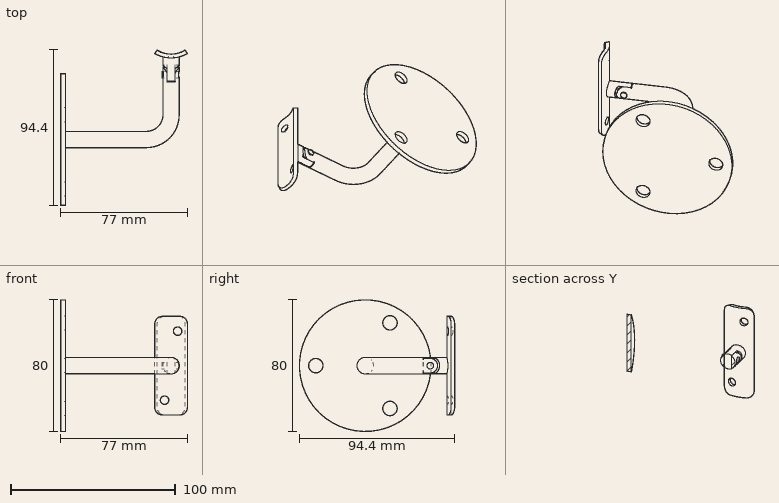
import cadquery as cq
import math

PLATE_DIAMETER = 80.0
PLATE_THICKNESS = 3.0
SCREW_HOLE_DIAMETER = 8.6
SCREW_CIRCLE_RADIUS = 30.0
SCREW_COUNT = 3

ROD_RADIUS = 5.0
ARM_X = 67.0
BEND_RADIUS = 15.0

HINGE_Y = 39.45
PIN_RADIUS = 2.0
PIN_SHIFT = 0.4
FORK_TIP_RADIUS = 4.4
HEAD_HOLLOW_RADIUS = 5.7
TONGUE_WIDTH = 4.8
TONGUE_END_Y = 35.5
SLOT_FLOOR_Y = 35.0

SADDLE_HEIGHT = 60.0
SADDLE_TOP_Y = 94.4 - PLATE_DIAMETER / 2
SADDLE_HALF_WIDTH = 10.0
SADDLE_INNER_HALF_WIDTH = 8.5
SADDLE_EDGE_DROP = 2.2
SADDLE_INNER_SAG = 2.5
SADDLE_THICKNESS = 2.4
SADDLE_CORNER_RADIUS = 5.0
RAIL_HOLE_DIAMETER = 5.0
RAIL_HOLE_OFFSET_X = 4.0
RAIL_HOLE_OFFSET_Z = 20.95

SADDLE_INNER_Y = SADDLE_TOP_Y - SADDLE_INNER_SAG
SADDLE_OUTER_Y = SADDLE_INNER_Y - SADDLE_THICKNESS


def cylinder_along_x(radius, x_start, length, y=0, z=0):
    return cq.Workplane("YZ", origin=(x_start, y, z)).circle(radius).extrude(length)


def arm_cylinder(y_start, y_end):
    """Round bar on the axis of the rod's second leg."""
    return cq.Workplane("XZ", origin=(ARM_X, y_start, 0)).circle(ROD_RADIUS).extrude(y_start - y_end)


def arm_block(width, y_start, y_end):
    """Block as tall as the rod, centred on the axis of its second leg."""
    centre_y = (y_start + y_end) / 2
    return cq.Workplane("XY", origin=(ARM_X, centre_y, 0)).box(width, y_end - y_start, 2 * ROD_RADIUS)


def hinge_disc(radius):
    """Disc about the hinge axis, as long as the rod is wide."""
    return cylinder_along_x(radius, ARM_X - ROD_RADIUS, 2 * ROD_RADIUS, HINGE_Y)


def hinge_pin():
    return cylinder_along_x(PIN_RADIUS, ARM_X - ROD_RADIUS - PIN_SHIFT, 2 * ROD_RADIUS, HINGE_Y)


def make_wall_plate():
    plate = cylinder_along_x(PLATE_DIAMETER / 2, 0, PLATE_THICKNESS)
    for index in range(SCREW_COUNT):
        angle = math.pi + index * 2 * math.pi / SCREW_COUNT
        y = SCREW_CIRCLE_RADIUS * math.cos(angle)
        z = SCREW_CIRCLE_RADIUS * math.sin(angle)
        plate = plate.cut(cylinder_along_x(SCREW_HOLE_DIAMETER / 2, 0, PLATE_THICKNESS, y, z))
    return plate


def make_bent_rod():
    bend_start_x = ARM_X - BEND_RADIUS
    bend_middle = (
        bend_start_x + BEND_RADIUS * math.sin(math.pi / 4),
        BEND_RADIUS * (1 - math.cos(math.pi / 4)),
    )
    path = (
        cq.Workplane("XY")
        .moveTo(PLATE_THICKNESS, 0)
        .lineTo(bend_start_x, 0)
        .threePointArc(bend_middle, (ARM_X, BEND_RADIUS))
        .lineTo(ARM_X, HINGE_Y)
    )
    return cq.Workplane("YZ", origin=(PLATE_THICKNESS, 0, 0)).circle(ROD_RADIUS).sweep(path)


def make_bracket():
    """Wall plate and bent rod, ending in a fork with rounded tips."""
    fork_tip = arm_cylinder(HINGE_Y, HINGE_Y + FORK_TIP_RADIUS).intersect(hinge_disc(FORK_TIP_RADIUS))
    slot = arm_block(TONGUE_WIDTH, SLOT_FLOOR_Y, HINGE_Y + FORK_TIP_RADIUS)
    pin_hole = hinge_disc(PIN_RADIUS)
    return make_wall_plate().union(make_bent_rod()).union(fork_tip).cut(slot).cut(pin_hole)


def make_saddle_plate():
    outer_edge_y = SADDLE_TOP_Y - SADDLE_EDGE_DROP
    plate = (
        cq.Workplane("XY", origin=(ARM_X, 0, -SADDLE_HEIGHT / 2))
        .moveTo(-SADDLE_INNER_HALF_WIDTH, SADDLE_TOP_Y)
        .threePointArc((0, SADDLE_INNER_Y), (SADDLE_INNER_HALF_WIDTH, SADDLE_TOP_Y))
        .lineTo(SADDLE_HALF_WIDTH, outer_edge_y)
        .threePointArc((0, SADDLE_OUTER_Y), (-SADDLE_HALF_WIDTH, outer_edge_y))
        .close()
        .extrude(SADDLE_HEIGHT)
    )
    plate = plate.edges("%LINE and (not |Z)").fillet(SADDLE_CORNER_RADIUS)
    rail_holes = (
        cq.Workplane("XZ", origin=(ARM_X, SADDLE_TOP_Y, 0))
        .pushPoints([
            (RAIL_HOLE_OFFSET_X, RAIL_HOLE_OFFSET_Z),
            (-RAIL_HOLE_OFFSET_X, -RAIL_HOLE_OFFSET_Z),
        ])
        .circle(RAIL_HOLE_DIAMETER / 2)
        .extrude(SADDLE_TOP_Y - SADDLE_OUTER_Y)
    )
    return plate.cut(rail_holes)


def make_saddle_neck():
    """Round head, hollowed around the fork tips, with a flat tongue and its hinge pin."""
    neck_top_y = SADDLE_INNER_Y
    tongue = arm_block(TONGUE_WIDTH, TONGUE_END_Y, neck_top_y)
    below_hinge = arm_block(2 * ROD_RADIUS, TONGUE_END_Y, HINGE_Y)
    fork_space = hinge_disc(HEAD_HOLLOW_RADIUS).union(below_hinge).cut(tongue)
    return arm_cylinder(TONGUE_END_Y, neck_top_y).cut(fork_space).union(hinge_pin())


def make_saddle():
    return make_saddle_plate().union(make_saddle_neck())


bracket = make_bracket()
saddle = make_saddle()

result = cq.Compound.makeCompound([bracket.solids().val(), saddle.solids().val()])